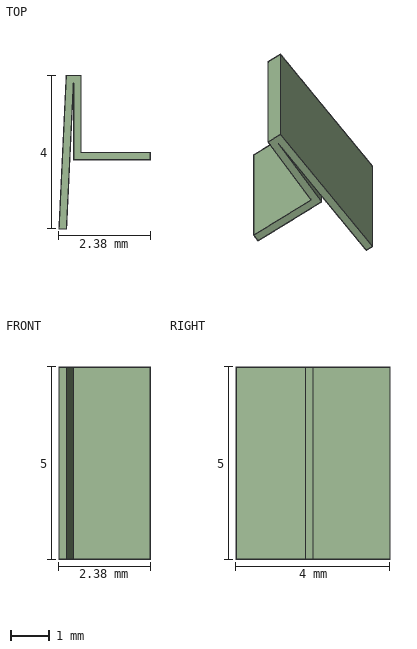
import cadquery as cq

height = 5.0
depth = 4.0
wall = 0.2
flange_length = 2.0
web_length = 2.2
lean = 0.19

slit_end_y = depth - wall
web_x = wall + lean * slit_end_y / depth
flange_x = web_x + flange_length
flange_y = depth - web_length

profile = [
    (0, 0),
    (wall, 0),
    (web_x, slit_end_y),
    (web_x, flange_y),
    (flange_x, flange_y),
    (flange_x, flange_y + wall),
    (web_x + wall, flange_y + wall),
    (web_x + wall, depth),
    (lean, depth),
]

result = cq.Workplane("XY").polyline(profile).close().extrude(height)